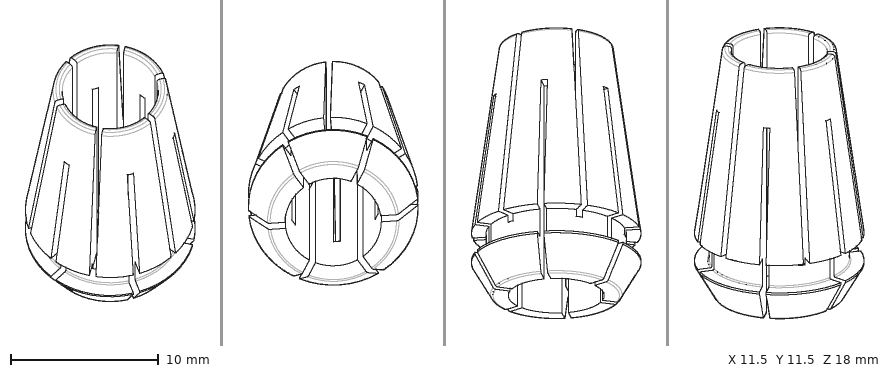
import cadquery as cq
import math

length = 18.0
max_radius = 5.75
bore_diameter = 6.5

taper_angle = 8.0
taper_start = 4.5
groove_radius = 4.75
groove_bottom = 2.5
nose_angle = 30.0
nose_land_height = 0.15

rim_fillet = 0.2
groove_fillet = 0.1
nose_fillet = 0.2

slot_width = 0.45
slots_per_end = 6
upper_slot_floor = 4.0
lower_slot_ceiling = 14.0

bore_radius = bore_diameter / 2
slot_pitch = 360.0 / slots_per_end
top_radius = max_radius - (length - taper_start) * math.tan(math.radians(taper_angle))
nose_cone_height = groove_bottom - nose_land_height
bottom_radius = max_radius - nose_cone_height * math.tan(math.radians(nose_angle))


def fillet_circle(body, radius, height, fillet_radius):
    """Round the circular edge that has the given radius and height on the axis."""
    tolerance = 0.001
    circles = [
        edge
        for edge in body.edges("%CIRCLE").vals()
        if abs(edge.radius() - radius) < tolerance and abs(edge.Center().z - height) < tolerance
    ]
    return body.newObject(circles).fillet(fillet_radius)


def collet_body():
    """Revolve the tapered sleeve with its groove and conical nose."""
    profile = (
        cq.Workplane("XZ")
        .moveTo(bore_radius, 0)
        .lineTo(bottom_radius, 0)
        .lineTo(max_radius, nose_cone_height)
        .lineTo(max_radius, groove_bottom)
        .lineTo(groove_radius, groove_bottom)
        .lineTo(groove_radius, taper_start)
        .lineTo(max_radius, taper_start)
        .lineTo(top_radius, length)
        .lineTo(bore_radius, length)
        .close()
    )
    body = profile.revolve(360, (0, 0, 0), (0, 1, 0))
    body = body.faces(">Z").edges().fillet(rim_fillet)
    body = fillet_circle(body, groove_radius, groove_bottom, groove_fillet)
    return fillet_circle(body, bottom_radius, 0, nose_fillet)


def radial_slots(z_low, z_high, first_angle):
    """Ring of radial slot cutters reaching from the axis past the outer surface."""
    cutter = (
        cq.Workplane("XY")
        .box(2 * max_radius, slot_width, z_high - z_low, centered=(False, True, False))
        .translate((0, 0, z_low))
    )
    cutters = cq.Workplane("XY")
    for i in range(slots_per_end):
        angle = first_angle + i * slot_pitch
        cutters = cutters.add(cutter.rotate((0, 0, 0), (0, 0, 1), angle))
    return cutters.combine()


upper_slots = radial_slots(upper_slot_floor, length, 0)
lower_slots = radial_slots(0, lower_slot_ceiling, slot_pitch / 2)

result = collet_body().cut(upper_slots).cut(lower_slots)